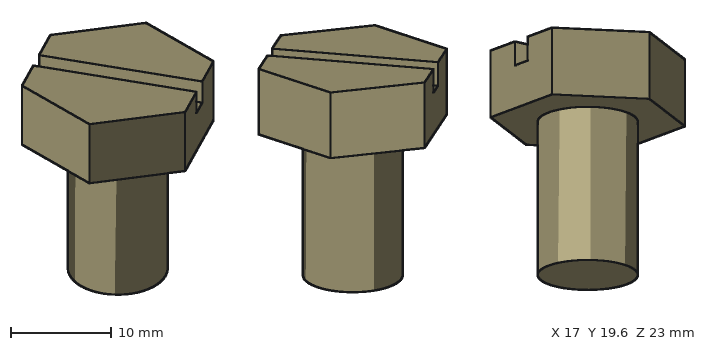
import cadquery as cq
import math

total_height = 23.0
head_height = 7.0
shank_length = total_height - head_height
shank_diameter = 10.0

across_flats = 17.0
across_corners = across_flats / math.cos(math.radians(30))
corner_angle = 90

slot_width = 2.0
slot_depth = 2.5

shank = cq.Workplane("XY").circle(shank_diameter / 2).extrude(shank_length)

head = (
    cq.Workplane("XY")
    .polygon(6, across_corners)
    .extrude(head_height)
    .rotate((0, 0, 0), (0, 0, 1), corner_angle)
    .translate((0, 0, shank_length))
)

slot = (
    cq.Workplane("XY")
    .workplane(offset=total_height - slot_depth)
    .rect(across_corners, slot_width)
    .extrude(slot_depth)
)

result = shank.union(head).cut(slot)